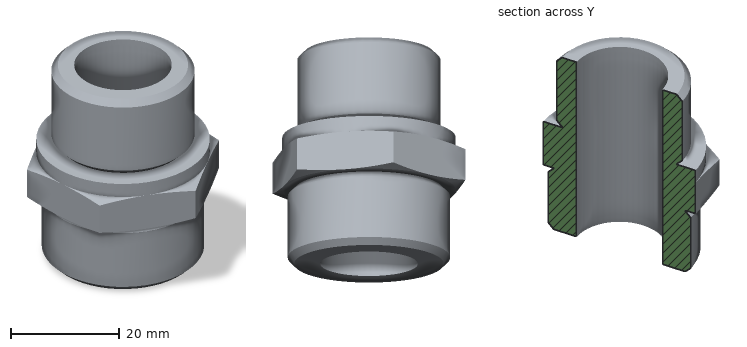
import cadquery as cq
import math

total_height = 40.0
lower_height = 14.0
hex_height = 7.2
collar_height = 2.8
hex_top = lower_height + hex_height
collar_top = hex_top + collar_height
upper_height = total_height - collar_top

hex_across_flats = 32.0
hex_across_corners = hex_across_flats / math.cos(math.radians(30))
collar_diameter = hex_across_flats
lower_diameter = 30.0
upper_diameter = 26.45
bore_diameter = 18.0

end_chamfer = 1.2
hex_chamfer_angle = 15.0


def chamfered_cylinder(diameter, height, base_z):
    """Cylinder along Z with both rims chamfered."""
    body = cq.Workplane("XY").workplane(offset=base_z).circle(diameter / 2).extrude(height)
    return body.edges("%CIRCLE").chamfer(end_chamfer)


def chamfered_hexagon():
    """Hexagon with corners on the Y axis, trimmed by a cone at each end."""
    prism = (
        cq.Workplane("XY")
        .workplane(offset=lower_height)
        .polygon(6, hex_across_corners)
        .extrude(hex_height)
        .rotate((0, 0, 0), (0, 0, 1), 90)
    )
    flat_radius = hex_across_flats / 2
    corner_radius = hex_across_corners / 2
    corner_drop = (corner_radius - flat_radius) * math.tan(math.radians(hex_chamfer_angle))
    envelope = (
        cq.Workplane("XZ")
        .moveTo(0, lower_height)
        .lineTo(flat_radius, lower_height)
        .lineTo(corner_radius, lower_height + corner_drop)
        .lineTo(corner_radius, hex_top - corner_drop)
        .lineTo(flat_radius, hex_top)
        .lineTo(0, hex_top)
        .close()
        .revolve(360, (0, 0, 0), (0, 1, 0))
    )
    return prism.intersect(envelope)


lower_end = chamfered_cylinder(lower_diameter, lower_height, 0)
upper_end = chamfered_cylinder(upper_diameter, upper_height, collar_top)
collar = cq.Workplane("XY").workplane(offset=hex_top).circle(collar_diameter / 2).extrude(collar_height)
bore = cq.Workplane("XY").circle(bore_diameter / 2).extrude(total_height)

result = lower_end.union(chamfered_hexagon()).union(collar).union(upper_end).cut(bore)